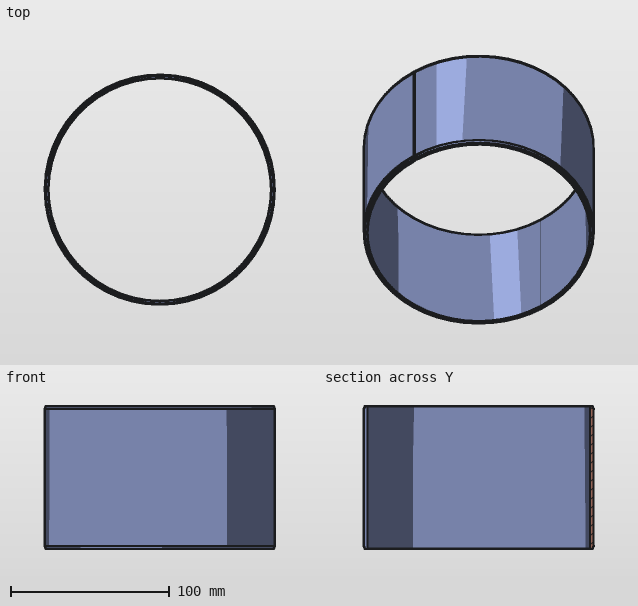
import cadquery as cq

outer_diameter = 145.0
wall = 2.5
length = 90.0
outer_chamfer_height = 1.9
outer_chamfer_depth = 0.7
inner_chamfer = 0.3
split_width = 1.2

outer_radius = outer_diameter / 2
inner_radius = outer_radius - wall
half_length = length / 2


def bushing_ring():
    """Revolve the wall section, chamfered at all four corners."""
    outer_chamfer_start = half_length - outer_chamfer_height
    inner_chamfer_start = half_length - inner_chamfer
    end_face_outer = outer_radius - outer_chamfer_depth
    end_face_inner = inner_radius + inner_chamfer
    section = [
        (inner_radius, -inner_chamfer_start),
        (end_face_inner, -half_length),
        (end_face_outer, -half_length),
        (outer_radius, -outer_chamfer_start),
        (outer_radius, outer_chamfer_start),
        (end_face_outer, half_length),
        (end_face_inner, half_length),
        (inner_radius, inner_chamfer_start),
    ]
    return cq.Workplane("XZ").polyline(section).close().revolve(360, (0, 0, 0), (0, 1, 0))


def split_cutter():
    """Full-length slot through the -X wall, with one face on the XZ plane."""
    return cq.Workplane("XY").box(
        outer_diameter, split_width, length, centered=(False, False, True)
    ).translate((-outer_diameter, 0, 0))


result = bushing_ring().cut(split_cutter())